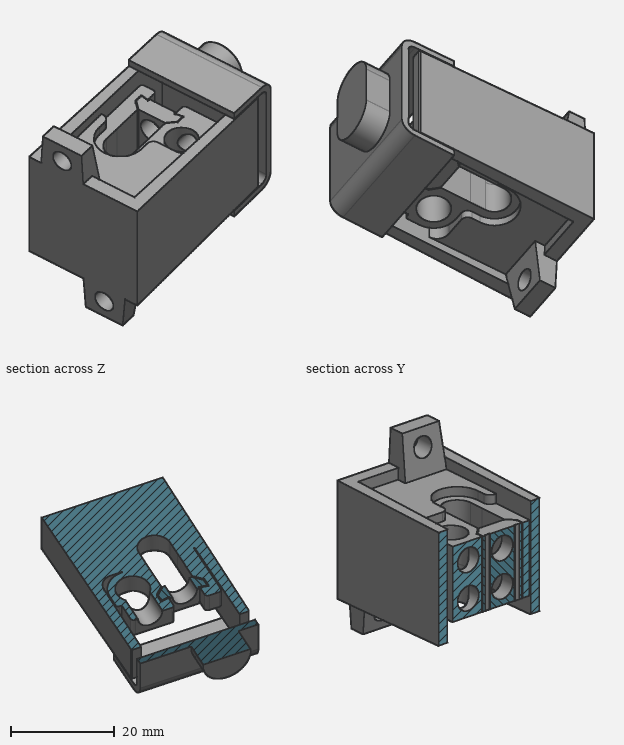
import cadquery as cq
import math


housing_width = 25.8
half_width = housing_width / 2
half_height = 12.5
housing_length = 40.05
rear_chamfer_length = 0.3
rear_chamfer_depth = 0.125
side_draft = 0.5
top_draft = 1.0
front_wall = 2.9
front_cavity_half_width = 10.1
core_half_height = 10.0

opening_front = 20.0
opening_corner_radius = 2.7
seat_radius = 5.05
seat_fillet = 1.5

carrier_half_height = 8.0
carrier_end = 32.9
carrier_half_width = 10.15
slot_x = -3.3
slot_radius = 3.25
slot_center_y = 16.65
bore_x = 5.2
bore_y = 25.0
bore_radius = 3.35
bore_boss_radius = 4.95
arm_side_x = 9.1
arm_shoulder_y = 28.25
arm_shoulder_radius = 0.5
arm_end_radius = 0.75

nut_clearance = 0.15
nut_pocket_half_width = seat_radius
nut_front_y = 26.75
nut_side_front_y = 28.45
nut_side_rear_y = 30.45
nut_neck_y = 30.1
nut_rear_y = 30.45
screw_radius = 2.55
screw_z = 4.05

lug_x = 5.0
lug_tip_z = 19.8
lug_hole_z = 15.85
lug_hole_radius = 2.2
lug_tip_thickness = 3.55
lug_root_thickness = 5.15
lug_root_half_width = 5.15
upper_lug_tip_half_width = 4.6
lower_lug_tip_half_width = 4.4

bracket_half_width = 12.55
bracket_thickness = 1.55
bracket_tip_y = 32.05
bracket_rear_y = 44.05
bracket_bend_radius = 2.95
bracket_gap = 0.25
knob_end_y = 49.5
knob_radius = seat_radius
knob_center_z = 4.5

side_slope = math.tan(math.radians(side_draft))
top_slope = math.tan(math.radians(top_draft))


def prism_z(outline, half_depth):
    """Extrude an XY outline equally above and below mid-height."""
    return outline.extrude(half_depth, both=True)


def cylinder_z(x, y, radius, half_depth):
    return prism_z(cq.Workplane("XY").center(x, y).circle(radius), half_depth)


def box_between(x0, x1, y0, y1, half_depth):
    corners = [(x0, y0), (x1, y0), (x1, y1), (x0, y1)]
    return prism_z(cq.Workplane("XY").polyline(corners).close(), half_depth)


def cavity_half_width(y):
    """Half width between the drafted side walls, which grows toward the rear."""
    return front_cavity_half_width + side_slope * (y - front_wall)


def cavity_prism(y0, y1, half_depth):
    w0 = cavity_half_width(y0)
    w1 = cavity_half_width(y1)
    corners = [(-w0, y0), (w0, y0), (w1, y1), (-w1, y1)]
    return prism_z(cq.Workplane("XY").polyline(corners).close(), half_depth)


def make_shell():
    """Block drafted in both plan and profile, emptied down to the core."""
    rear_half_width = half_width - side_slope * housing_length
    rear_half_height = half_height - top_slope * housing_length
    chamfer_y = housing_length - rear_chamfer_length
    chamfer_x = rear_half_width - rear_chamfer_depth
    plan = cq.Workplane("XY").polyline([
        (-half_width, 0), (half_width, 0), (rear_half_width, chamfer_y), (chamfer_x, housing_length),
        (-chamfer_x, housing_length), (-rear_half_width, chamfer_y),
    ]).close()
    profile = cq.Workplane("YZ").polyline([
        (0, -half_height), (0, half_height),
        (housing_length, rear_half_height), (housing_length, -rear_half_height),
    ]).close()
    shell = prism_z(plan, half_height).intersect(profile.extrude(half_width, both=True))
    cavity = cavity_prism(front_wall, housing_length, half_height)
    core = cavity_prism(front_wall, opening_front, core_half_height)
    return shell.cut(cavity.cut(core))


def make_shell_corner():
    """Round the inner corner of the opening beside the bore boss."""
    corner_x = cavity_half_width(opening_front)
    arc_x = corner_x - opening_corner_radius
    arc_y = opening_front + opening_corner_radius
    wall_overlap = side_slope * opening_corner_radius
    square = box_between(arc_x, corner_x + wall_overlap, opening_front, arc_y, core_half_height)
    return square.cut(cylinder_z(arc_x, arc_y, opening_corner_radius, core_half_height))


def make_step():
    """Relief over the carrier, reaching into the core as a U flared by a fillet on each side."""
    r = seat_radius
    f = seat_fillet
    bend = f * (1 - math.sqrt(0.5))
    side = carrier_half_width
    outline = (
        cq.Workplane("XY", origin=(0, 0, carrier_half_height))
        .moveTo(-side, carrier_end)
        .lineTo(-side, opening_front)
        .lineTo(slot_x - r - f, opening_front)
        .threePointArc((slot_x - r - bend, opening_front - bend), (slot_x - r, opening_front - f))
        .lineTo(slot_x - r, slot_center_y)
        .threePointArc((slot_x, slot_center_y - r), (slot_x + r, slot_center_y))
        .lineTo(slot_x + r, opening_front - f)
        .threePointArc((slot_x + r + bend, opening_front - bend), (slot_x + r + f, opening_front))
        .lineTo(side, opening_front)
        .lineTo(side, carrier_end)
        .close()
    )
    upper = outline.extrude(core_half_height - carrier_half_height)
    return upper.union(upper.mirror("XY"))


def nut_outline(side_gap, front_gap):
    """Hooked, tapered nut section, shrunk by the given gaps from the pocket that holds it."""
    neck = slot_radius - side_gap
    side = nut_pocket_half_width - side_gap
    right = [
        (neck, nut_front_y + front_gap),
        (side, nut_side_front_y + front_gap),
        (side, nut_side_rear_y - front_gap),
        (neck, nut_neck_y - front_gap),
        (neck, nut_rear_y),
    ]
    left = [(-x, y) for x, y in reversed(right)]
    return cq.Workplane("XY").polyline([(slot_x + x, y) for x, y in right + left]).close()


def screw_holes(x, y0, y1):
    length = y1 - y0
    return (
        cq.Workplane("XZ", origin=(x, y0, 0)).pushPoints([(0, screw_z), (0, -screw_z)])
        .circle(screw_radius).extrude(-length)
    )


def make_carrier():
    """Full-height block rooted in the core: two arms beside the slot, one with the bore boss."""
    block = box_between(-carrier_half_width, bore_x, slot_center_y, carrier_end, core_half_height)
    arm = box_between(bore_x, arm_side_x, bore_y, carrier_end, core_half_height)
    arms = block.union(arm).cut(make_slot())
    arms = arms.edges("|Z and >Y").fillet(arm_end_radius)
    boss = cylinder_z(bore_x, bore_y, bore_boss_radius, core_half_height)
    shoulder = box_between(bore_x, bore_x + bore_boss_radius, bore_y, arm_shoulder_y, core_half_height)
    shoulder = shoulder.edges("|Z and >X and >Y").fillet(arm_shoulder_radius)
    return arms.union(boss).union(shoulder)


def make_slot():
    """Round-ended slot, open toward the rear."""
    round_end = cylinder_z(slot_x, slot_center_y, slot_radius, core_half_height)
    straight = box_between(slot_x - slot_radius, slot_x + slot_radius, slot_center_y, carrier_end,
                           core_half_height)
    return round_end.union(straight)


def make_lug(side, x, tip_half_width):
    """Lug standing on the core: side is +1 above the housing and -1 below it."""
    root_z = side * core_half_height
    tip_z = side * lug_tip_z
    face = cq.Workplane("XZ").polyline([
        (x - lug_root_half_width, root_z), (x + lug_root_half_width, root_z),
        (x + tip_half_width, tip_z), (x - tip_half_width, tip_z),
    ]).close().extrude(-lug_root_thickness)
    wedge = cq.Workplane("YZ", origin=(x - lug_root_half_width, 0, 0)).polyline([
        (0, root_z), (lug_root_thickness, root_z),
        (lug_tip_thickness, tip_z), (0, tip_z),
    ]).close().extrude(2 * lug_root_half_width)
    hole = (
        cq.Workplane("XZ").center(x, side * lug_hole_z)
        .circle(lug_hole_radius).extrude(-lug_root_thickness)
    )
    return face.intersect(wedge).cut(hole)


def make_housing():
    housing = make_shell().union(make_carrier()).cut(make_step())
    housing = housing.union(make_shell_corner())
    housing = housing.cut(make_slot())
    housing = housing.cut(prism_z(nut_outline(0, 0), core_half_height))
    housing = housing.cut(cylinder_z(bore_x, bore_y, bore_radius, core_half_height))
    housing = housing.cut(screw_holes(bore_x, bore_y, carrier_end))
    housing = housing.union(make_lug(1, -lug_x, upper_lug_tip_half_width))
    housing = housing.union(make_lug(-1, lug_x, lower_lug_tip_half_width))
    return housing


def make_nut():
    nut = prism_z(nut_outline(nut_clearance, nut_clearance), carrier_half_height)
    return nut.cut(screw_holes(slot_x, nut_front_y, nut_rear_y))


def bracket_block(offset, rear_y):
    """Block whose upper and lower faces follow the housing draft at the given offset from its faces."""
    tip_z = half_height - top_slope * bracket_tip_y + offset
    rear_z = half_height - top_slope * rear_y + offset
    return cq.Workplane("YZ").polyline([
        (bracket_tip_y, -tip_z), (bracket_tip_y, tip_z), (rear_y, rear_z), (rear_y, -rear_z),
    ]).close().extrude(bracket_half_width, both=True)


def make_bracket():
    outer = bracket_block(bracket_gap + bracket_thickness, bracket_rear_y)
    outer = outer.edges("|X and >Y").fillet(bracket_bend_radius)
    inner = bracket_block(bracket_gap, bracket_rear_y - bracket_thickness)
    inner = inner.edges("|X and >Y").fillet(bracket_bend_radius - bracket_thickness)
    knob = (
        cq.Workplane("XZ", origin=(slot_x, bracket_rear_y, 0))
        .slot2D(2 * (knob_center_z + knob_radius), 2 * knob_radius, 90)
        .extrude(bracket_rear_y - knob_end_y)
    )
    return outer.cut(inner).union(knob)


housing = make_housing()
nut = make_nut()
bracket = make_bracket()

result = cq.Compound.makeCompound([body.solids().val() for body in (housing, nut, bracket)])